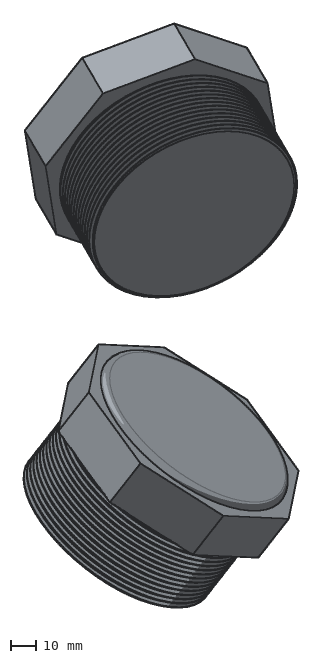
import cadquery as cq
import math

total_length = 58.0
cap_height = 2.6
cap_diameter = 87.8
cap_fillet = 2.5

head_width = 21.9
head_across_flats = 94.9
head_extent = 98.9
head_sides = 8

core_diameter = 84.8
thread_diameter = 87.8
gauge_length = 6.9
turns_per_gauge = 3
thread_root_width = 2.0
thread_crest_width = 0.4
thread_clearance = 0.01

thread_start = cap_height + head_width
thread_length = total_length - thread_start
core_radius = core_diameter / 2
root_radius = core_radius + thread_clearance
crest_radius = thread_diameter / 2
thread_pitch = gauge_length / turns_per_gauge
corner_diameter = head_across_flats / math.cos(math.pi / head_sides)
head_tilt = math.degrees(math.acos(head_extent / corner_diameter))


def make_plug():
    """Solid plug: rounded cap, octagonal head and plain threaded core."""
    head = (
        cq.Workplane("YZ", origin=(cap_height, 0, 0))
        .polygon(head_sides, corner_diameter)
        .extrude(head_width)
        .rotate((0, 0, 0), (1, 0, 0), -head_tilt)
    )
    cap = (
        cq.Workplane("YZ")
        .circle(cap_diameter / 2)
        .extrude(cap_height)
        .faces("<X")
        .edges()
        .fillet(cap_fillet)
    )
    core = cq.Workplane("YZ", origin=(thread_start, 0, 0)).circle(core_radius).extrude(thread_length)
    return head.union(cap).union(core).solids()


def make_thread():
    """Right-handed ridge wound on the core, trimmed at the head and at the end face."""
    turns = math.ceil(thread_length / thread_pitch) + 2
    wound_length = turns * thread_pitch
    start = thread_length + thread_pitch - wound_length
    path = cq.Wire.makeHelix(thread_pitch, wound_length, root_radius)
    ridge = (
        cq.Workplane("XZ")
        .moveTo(root_radius, -thread_root_width / 2)
        .lineTo(crest_radius, -thread_crest_width / 2)
        .lineTo(crest_radius, thread_crest_width / 2)
        .lineTo(root_radius, thread_root_width / 2)
        .close()
        .sweep(cq.Workplane(path), isFrenet=True)
    )
    ridge = (
        ridge.rotate((0, 0, 0), (0, 1, 0), 90)
        .rotate((0, 0, 0), (1, 0, 0), 180)
        .translate((thread_start + start, 0, 0))
    )
    trim = cq.Workplane("YZ", origin=(thread_start, 0, 0)).circle(thread_diameter).extrude(thread_length)
    return ridge.intersect(trim).solids()


plug = make_plug()
thread = make_thread()

result = cq.Compound.makeCompound([plug.val(), thread.val()])